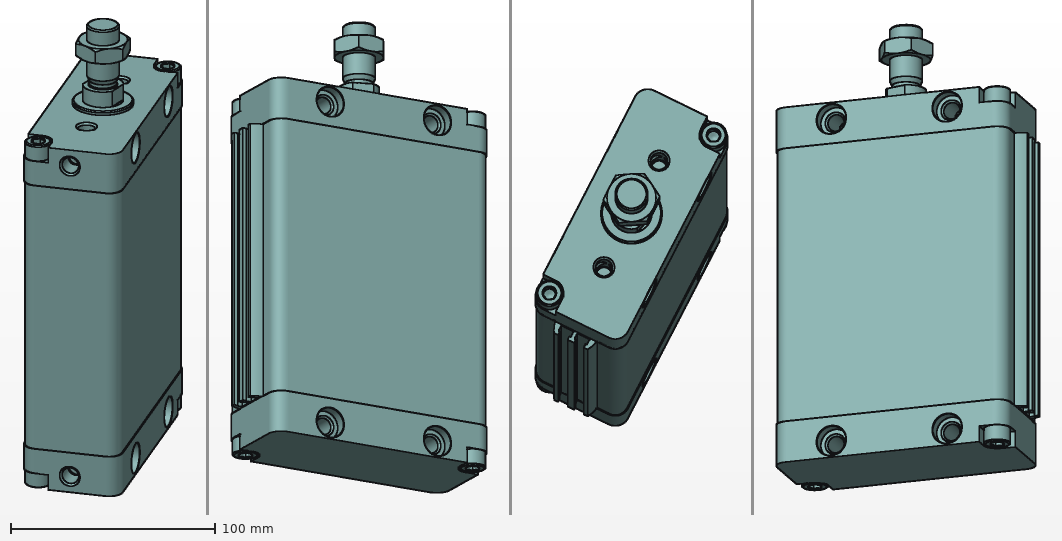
import cadquery as cq
import math

cap_width = 50.0
cap_depth = 121.0
cap_height = 21.0
barrel_inset = 0.5
barrel_width = cap_width - 2 * barrel_inset
barrel_depth = cap_depth - 2 * barrel_inset
barrel_length = 140.0
cap_corner_radius = 7.0
barrel_corner_radius = cap_corner_radius - barrel_inset
top_face = 2 * cap_height + barrel_length

thread_hole_diameter = 8.38
thread_mouth_diameter = 10.4
blind_end_bevel = 0.4
counterbore_diameter = 15.0
counterbore_mouth_diameter = 15.5
counterbore_depth = 6.0
hole_inset = 8.5
hole_offset = 30.0
port_depth = 12.0
top_hole_depth = 16.0

head_diameter = 13.0
head_top_diameter = 11.45
head_chamfer_height = 0.6
head_height = 8.0
screw_x = barrel_width / 2 - head_diameter / 2
screw_y = barrel_depth / 2 - head_diameter / 2
socket_width = 6.0
socket_depth = 4.0
socket_mouth_depth = 0.4
socket_tip_depth = 1.5
pocket_diameter = 13.9

collar_diameter = 30.0
collar_height = 2.0
collar_chamfer = 0.7

shank_diameter = 20.0
shank_stickout = 10.2
shank_top = top_face + shank_stickout
neck_diameter = 13.55
neck_foot_diameter = 14.38
neck_foot_height = 0.6
neck_height = 2.5
taper_diameter = 13.9
taper_height = 2.5
thread_diameter = 16.0
thread_tip_diameter = 14.38
thread_tip_chamfer = (thread_diameter - thread_tip_diameter) / 2
rod_stickout = 42.0
rod_top = top_face + rod_stickout
rod_bottom = top_face - cap_height
wrench_width = 17.0
wrench_angle = -15.6

nut_width = 24.0
nut_height = 8.0
nut_setback = 16.0
nut_bottom = rod_top - nut_setback
nut_chamfer_angle = 30.0

rail_height = 6.0
rail_base = 1.0
rail_half_width = 11.4
rail_top_half_width = 9.2
rail_flank_bulge = 0.25
slot_outer = 7.75
slot_mouth_outer = 7.0
lip_height = 2.0
stem_half_width = 1.0
flange_half_width = 1.75


def rounded_block(width, depth, corner_radius, height, bottom):
    """Upright block with rounded vertical edges."""
    block = cq.Workplane("XY").workplane(offset=bottom).rect(width, depth).extrude(height)
    return block.edges("|Z").fillet(corner_radius)


def revolved(points):
    """Solid turned about the Z axis from a (radius, z) outline."""
    return cq.Workplane("XZ").polyline(points).close().revolve(360, (0, 0), (0, 1))


def thread_hole(depth):
    """Cutter along -Z from the origin: a hole with a 45 degree mouth."""
    hole_radius = thread_hole_diameter / 2
    mouth_radius = thread_mouth_diameter / 2
    return revolved([
        (0, 0),
        (mouth_radius, 0),
        (hole_radius, hole_radius - mouth_radius),
        (hole_radius, -depth),
        (0, -depth),
    ])


def blind_thread_hole(depth):
    """Thread hole cutter with a bevelled blind end."""
    return thread_hole(depth).faces("<Z").chamfer(blind_end_bevel)


def half_cross_hole():
    """Cutter along -Z from the origin: counterbore and threaded hole to mid-width."""
    inner_radius = counterbore_diameter / 2
    mouth_radius = counterbore_mouth_diameter / 2
    counterbore = revolved([
        (0, 0),
        (mouth_radius, 0),
        (inner_radius, inner_radius - mouth_radius),
        (inner_radius, -counterbore_depth),
        (0, -counterbore_depth),
    ])
    hole = thread_hole(cap_width / 2 - counterbore_depth)
    return counterbore.union(hole.translate((0, 0, -counterbore_depth)))


def screw_head():
    """Screw head with its top at Z = 0: chamfered rim, countersunk hexagon socket with conical floor."""
    head_radius = head_diameter / 2
    head = revolved([
        (0, -head_height),
        (head_radius, -head_height),
        (head_radius, -head_chamfer_height),
        (head_top_diameter / 2, 0),
        (0, 0),
    ])
    corner_diameter = socket_width / math.cos(math.radians(30))
    socket = (
        cq.Workplane("XY").polygon(6, corner_diameter).extrude(-socket_depth)
        .rotate((0, 0, 0), (0, 0, 1), 30)
    )
    tip = revolved([
        (0, -socket_depth),
        (socket_width / 2, -socket_depth),
        (0, -socket_depth - socket_tip_depth),
    ])
    mouth = revolved([
        (0, 0),
        (corner_diameter / 2, 0),
        (socket_width / 2, -socket_mouth_depth),
        (0, -socket_mouth_depth),
    ])
    return head.cut(socket).cut(tip).cut(mouth)


def screw_pocket():
    """Cutter for a +X +Y corner: round about the screw axis, with straight walls out to both sides."""
    radius = pocket_diameter / 2
    round_part = cq.Workplane("XY").circle(radius).extrude(-head_height)
    toward_x = cq.Workplane("XY").rect(pocket_diameter, pocket_diameter).extrude(-head_height)
    toward_x = toward_x.translate((radius, 0, 0))
    toward_y = toward_x.rotate((0, 0, 0), (0, 0, 1), 90)
    return round_part.union(toward_x).union(toward_y).translate((screw_x, screw_y, 0))


def plain_cap():
    """Cap with its outer face at Z = 0 and its joint face below, without rod features."""
    cap = rounded_block(cap_width, cap_depth, cap_corner_radius, cap_height, -cap_height)

    for y in (-hole_offset, hole_offset):
        for side in (-1, 1):
            cutter = half_cross_hole().rotate((0, 0, 0), (0, 1, 0), side * 90)
            cap = cap.cut(cutter.translate((side * cap_width / 2, y, -hole_inset)))

    port = blind_thread_hole(port_depth).rotate((0, 0, 0), (1, 0, 0), 90)
    cap = cap.cut(port.translate((0, -cap_depth / 2, -hole_inset)))

    for turn in (0, 180):
        pocket = screw_pocket().rotate((0, 0, 0), (0, 0, 1), turn)
        head = screw_head().translate((screw_x, screw_y, 0)).rotate((0, 0, 0), (0, 0, 1), turn)
        cap = cap.cut(pocket).union(head)
    return cap


def make_bearing_cap():
    """Upper cap with the rod collar, the mounting holes and the rod bore."""
    cap = plain_cap()
    collar = cq.Workplane("XY").circle(collar_diameter / 2).extrude(collar_height)
    cap = cap.union(collar.faces(">Z").chamfer(collar_chamfer))
    for y in (-hole_offset, hole_offset):
        cap = cap.cut(blind_thread_hole(top_hole_depth).translate((0, y, 0)))
    bore = cq.Workplane("XY").workplane(offset=-cap_height).circle(shank_diameter / 2)
    cap = cap.cut(bore.extrude(cap_height + collar_height))
    return cap.translate((0, 0, top_face))


def make_end_cap():
    """Lower cap: mirrored in Z, so its outer face looks down."""
    return plain_cap().mirror("XY")


def make_barrel():
    """Barrel with the sensor rail: two hooked flanks and a T-shaped middle rib."""
    barrel = rounded_block(barrel_width, barrel_depth, barrel_corner_radius, barrel_length, cap_height)
    root = barrel_depth / 2
    top = root + rail_height
    floor = root + rail_base
    lip = top - lip_height
    flank_middle = (
        (rail_half_width + rail_top_half_width) / 2 + rail_flank_bulge,
        (root + top) / 2 + rail_flank_bulge,
    )
    half_rail = (
        cq.Workplane("XY").workplane(offset=cap_height)
        .moveTo(0, root)
        .lineTo(rail_half_width, root)
        .threePointArc(flank_middle, (rail_top_half_width, top))
        .lineTo(slot_mouth_outer, top)
        .lineTo(slot_mouth_outer, lip)
        .lineTo(slot_outer, lip)
        .lineTo(slot_outer, floor)
        .lineTo(stem_half_width, floor)
        .lineTo(stem_half_width, lip)
        .lineTo(flange_half_width, lip)
        .lineTo(flange_half_width, top)
        .lineTo(0, top)
        .close()
        .extrude(barrel_length)
    )
    return barrel.union(half_rail).union(half_rail.mirror("YZ"))


def make_rod():
    """Turned rod with wrench flats above the collar and a necked thread."""
    thread_bottom = shank_top + neck_height + taper_height
    rod = revolved([
        (0, rod_bottom),
        (shank_diameter / 2, rod_bottom),
        (shank_diameter / 2, shank_top),
        (neck_foot_diameter / 2, shank_top),
        (neck_diameter / 2, shank_top + neck_foot_height),
        (neck_diameter / 2, shank_top + neck_height),
        (taper_diameter / 2, shank_top + neck_height),
        (thread_diameter / 2, thread_bottom),
        (thread_diameter / 2, rod_top - thread_tip_chamfer),
        (thread_tip_diameter / 2, rod_top),
        (0, rod_top),
    ])
    flats_bottom = top_face + collar_height
    flats_height = shank_top - flats_bottom
    flats_cutter = (
        cq.Workplane("XY").workplane(offset=flats_bottom)
        .rect(2 * shank_diameter, 2 * shank_diameter)
        .rect(wrench_width, 2 * shank_diameter)
        .extrude(flats_height)
    )
    return rod.cut(flats_cutter.rotate((0, 0, 0), (0, 0, 1), wrench_angle))


def make_nut():
    """Hexagon nut with flats facing +-X and both ends chamfered."""
    corner = nut_width / 2 / math.cos(math.radians(30))
    drop = (corner - nut_width / 2) * math.tan(math.radians(nut_chamfer_angle))
    nut = (
        cq.Workplane("XY").polygon(6, 2 * corner).extrude(nut_height)
        .rotate((0, 0, 0), (0, 0, 1), 30)
    )
    envelope = revolved([
        (thread_diameter / 2, 0),
        (nut_width / 2, 0),
        (corner, drop),
        (corner, nut_height - drop),
        (nut_width / 2, nut_height),
        (thread_diameter / 2, nut_height),
    ])
    return nut.intersect(envelope).translate((0, 0, nut_bottom))


bearing_cap = make_bearing_cap()
barrel = make_barrel()
end_cap = make_end_cap()
rod = make_rod()
nut = make_nut()

result = cq.Compound.makeCompound([
    bearing_cap.val(),
    barrel.val(),
    end_cap.val(),
    rod.val(),
    nut.val(),
])